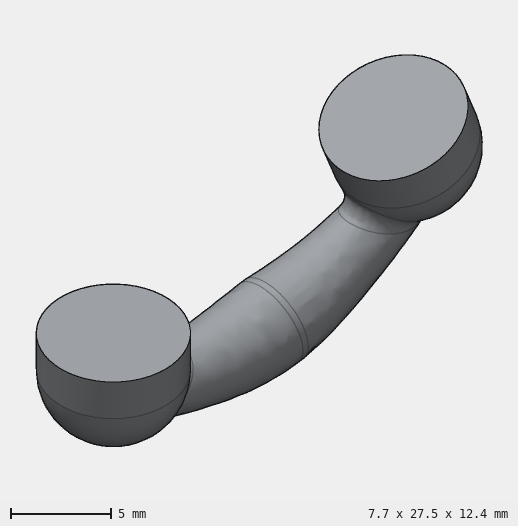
import cadquery as cq
import math

overall_length = 27.5
cup_diameter = 7.7
cup_radius = cup_diameter / 2
cup_height = 6.22
wall_height = cup_height - cup_radius

near_rim_y = cup_radius
near_rim_z = 7.75
far_tilt = 20.2
far_rim_y = overall_length - cup_radius - wall_height * math.sin(math.radians(far_tilt))
far_rim_z = 11.08

near_sections = [
    (4.4, 3.08, 3.2, 2.97, -14.0),
    (7.3, 2.6, 3.63, 3.5, -9.0),
    (10.6, 2.28, 4.45, 4.3, -1.0),
    (14.4, 2.53, 4.95, 4.85, 8.3),
]
far_sections = [
    (14.77, 2.58, 4.95, 4.85, 8.3),
    (17.27, 3.15, 4.56, 4.35, 19.0),
    (19.77, 4.1, 4.02, 3.9, 24.0),
    (22.0, 5.22, 3.63, 3.46, 29.0),
    (24.1, 6.5, 3.02, 2.8, 32.0),
]
blend_radius = 0.82

near_seam_center = (0, 6.05, 2.9)
far_seam_center = (0, 22.58, 5.72)


def make_cup(rim_y, rim_z, tilt):
    """Revolve a cup about its own axis, then tilt it about the rim centre."""
    arc_offset = cup_radius * math.sqrt(0.5)
    cup = (
        cq.Workplane("XZ")
        .lineTo(cup_radius, 0)
        .lineTo(cup_radius, -wall_height)
        .threePointArc((arc_offset, -wall_height - arc_offset), (0, -cup_height))
        .close()
        .revolve(360, (0, 0, 0), (0, 1, 0))
    )
    return cup.rotate((0, 0, 0), (1, 0, 0), tilt).translate((0, rim_y, rim_z))


def section_wire(y, z, width, depth, slope):
    """Elliptical handle section, square to a centreline of the given slope."""
    angle = math.radians(slope)
    plane = cq.Plane((0, y, z), (1, 0, 0), (0, math.cos(angle), math.sin(angle)))
    return cq.Workplane(plane).ellipse(width / 2, depth / 2).val()


def loft_sections(sections, ruled=False):
    wires = [section_wire(*section) for section in sections]
    return cq.Workplane(cq.Solid.makeLoft(wires, ruled))


handle = loft_sections(near_sections)
handle = handle.union(loft_sections([near_sections[-1], far_sections[0]], ruled=True))
handle = handle.union(loft_sections(far_sections))

near_cup = make_cup(near_rim_y, near_rim_z, 0)
far_cup = make_cup(far_rim_y, far_rim_z, far_tilt)
result = near_cup.union(far_cup).union(handle)

for seam_center in (near_seam_center, far_seam_center):
    seam = cq.selectors.NearestToPointSelector(seam_center)
    result = result.edges(seam).fillet(blend_radius)